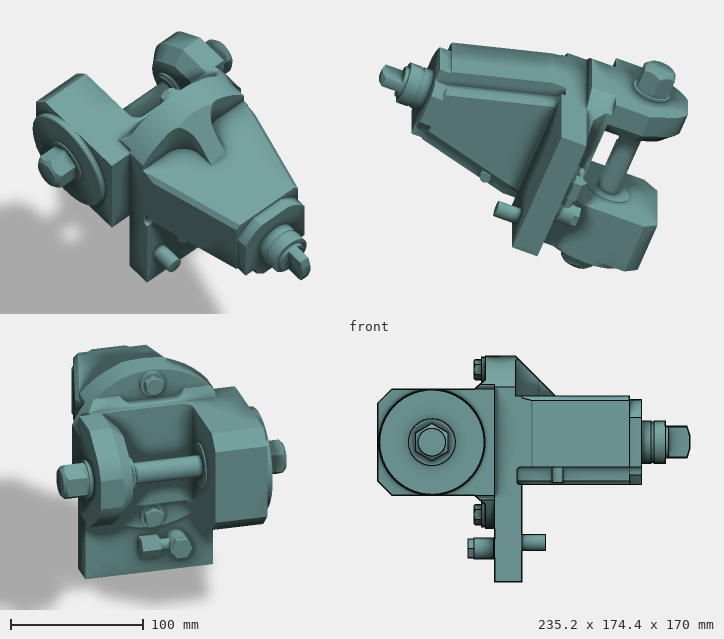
import cadquery as cq
import math


fork_half_height = 40.0
fork_back_x = 47.3
web_front_x = 27.5
web_fillet = 8.2
near_arm_front_x = -41.0
near_arm_inner_y = -26.8
near_arm_outer_y = -67.2
near_arm_chamfer = 10.8
far_arm_inner_y = 32.7
far_arm_outer_y = 60.2
far_arm_nose_radius = 33.0
far_arm_nose_x = -30.8
far_arm_bevel_depth = 10.3
far_arm_bevel_inset = 9.5

flange_radius = 65.0
flange_front_x = 40.0
flange_back_x = 62.8
plate_half_width = 49.8
plate_back_x = 67.7
plate_bottom_z = -105.0
near_relief_y = -48.2
ledge_front_x = 32.0
ledge_half_height = 46.8

flange_bolt_z = 54.5
spot_half_width = 26.0
spot_inner_z = 41.1
spot_corner_radius = 10.3
spot_depth = 0.5
spot_floor_x = flange_front_x + spot_depth
spot_front_x = 33.9
flange_washer_radius = 9.5
flange_washer_thickness = 2.8
flange_bolt_flats = 13.2
flange_bolt_chamfer = 1.2
flange_bolt_tip_x = 31.5

housing_top_z = 34.8
housing_bottom_z = -32.0
housing_back_x = 148.5
housing_back_half_width = 30.3
taper_start_x = 75.5
housing_top_chamfer = 3.5
side_relief_top_z = -18.8
side_relief_depth = 11.3
foot_back_half_width = housing_back_half_width - side_relief_depth
side_relief_front_x = 64.0
side_relief_corner = 2.8
side_relief_bottom_chamfer = 2.5

gusset_half_width = 7.5
gusset_flare_end_x = 80.5
gusset_flare_radius = gusset_flare_end_x - flange_back_x

end_plate_back_x = 157.8
end_plate_half_width = 29.2
end_plate_half_height = 32.0
end_plate_top_radius = 34.5
end_plate_chamfer = 7.3

collar_radius = 16.0
collar_back_x = 175.6
groove_x = 164.8
groove_width = 2.4
groove_depth = 0.7
hub_radius = 12.0
hub_back_x = 178.2
tang_thickness = 7.8
shaft_end_x = 194.2
tang_end_chamfer_length = 2.4
tang_end_chamfer_inset = 7.0

clamp_shaft_radius = 8.2
clamp_key_width = 2.4
clamp_key_height = 0.7
clamp_key_end_y = 15.0
clamp_hex_flats = 24.5
clamp_hex_chamfer = 3.8
clamp_head_end_y = -91.2
clamp_nut_end_y = 83.2
clamp_nut_start_y = 65.4
clamp_disc_outer_y = -72.0
clamp_disc_radius = 40.0
clamp_disc_chamfer = 0.7
clamp_washer_radius = 17.6
clamp_washer_thickness = 1.0
collar_stack_radius = 12.7
collar_flange_radius = 14.5
collar_flange_thickness = 1.9
inner_collar_end_y = 27.5

pin_y = -37.6
housing_pin_x = 94.5
housing_pin_radius = 4.0
housing_pin_bottom_z = -30.3
plate_pin_z = -75.5
plate_pin_radius = 6.0
plate_pin_end_x = 85.5
stop_y = -20.0
stop_z = -80.0
stop_radius = 8.0
stop_neck_radius = 7.0
stop_body_front_x = 31.5
stop_body_back_x = 46.3
stop_tip_x = 27.0
stop_flats = 14.3
stop_rod_radius = 4.5
stop_nut_start_y = -5.0
stop_nut_end_y = 9.5


def span_box(x0, x1, y0, y1, z0, z1):
    """Box given by its limits along each axis."""
    return cq.Workplane("XY").box(x1 - x0, y1 - y0, z1 - z0, centered=False).translate((x0, y0, z0))


def plane_x(x, y=0, z=0):
    """Workplane facing +X; its local axes are Y and Z."""
    return cq.Workplane("YZ", origin=(x, y, z))


def plane_y(y, x=0, z=0):
    """Workplane facing +Y; its local axes are -X and Z."""
    return cq.Workplane(cq.Plane(origin=(x, y, z), xDir=(-1, 0, 0), normal=(0, 1, 0)))


def hexagon(plane, flats, length, turn=0):
    """Hexagonal prism with a corner on the local x axis, rotated by turn degrees."""
    corner_diameter = flats / math.cos(math.pi / 6)
    return plane.transformed(rotate=(0, 0, turn)).polygon(6, corner_diameter).extrude(length)


def rounded_hexagon(plane, flats, length, chamfer, far_end):
    """Hexagonal bolt head with its corners turned off at one end."""
    prism = hexagon(plane, flats, length, 90)
    corner_radius = flats / 2 / math.cos(math.pi / 6)
    blank = plane.circle(corner_radius).extrude(length)
    blank = blank.faces(far_end).chamfer(chamfer)
    return prism.intersect(blank)


def flange_cylinder(x0, x1):
    return plane_x(x0).circle(flange_radius).extrude(x1 - x0)


def make_near_arm():
    arm = span_box(near_arm_front_x, fork_back_x, near_arm_outer_y, near_arm_inner_y,
                   -fork_half_height, fork_half_height)
    return arm.edges("|Y and <X").chamfer(near_arm_chamfer)


def make_far_arm():
    contact_angle = math.acos(far_arm_nose_radius / fork_half_height)
    contact_x = -far_arm_nose_radius * math.sin(contact_angle)
    contact_z = far_arm_nose_radius * math.cos(contact_angle)
    arm = (
        cq.Workplane("XZ", origin=(0, far_arm_outer_y, 0))
        .moveTo(fork_back_x, fork_half_height)
        .lineTo(0, fork_half_height)
        .lineTo(contact_x, contact_z)
        .threePointArc((-far_arm_nose_radius, 0), (contact_x, -contact_z))
        .lineTo(0, -fork_half_height)
        .lineTo(fork_back_x, -fork_half_height)
        .close()
        .extrude(far_arm_outer_y - far_arm_inner_y)
    )
    rim = arm.faces("<Y").edges("not >X")
    bevel = arm.val().chamfer(far_arm_bevel_depth, far_arm_bevel_inset, rim.vals())
    arm = cq.Workplane(bevel)
    nose_limit = span_box(far_arm_nose_x, fork_back_x, far_arm_inner_y, far_arm_outer_y,
                          -fork_half_height, fork_half_height)
    heel = span_box(web_front_x, fork_back_x, far_arm_inner_y, far_arm_outer_y,
                    -fork_half_height, fork_half_height)
    heel_waste = heel.cut(flange_cylinder(web_front_x, fork_back_x))
    return arm.intersect(nose_limit).cut(heel_waste)


def make_fork():
    web = span_box(web_front_x, fork_back_x, near_arm_inner_y, plate_half_width,
                   -fork_half_height, fork_half_height)
    fork = make_near_arm().union(web)
    fork = fork.edges(cq.selectors.NearestToPointSelector((web_front_x, near_arm_inner_y, 0)))
    return fork.fillet(web_fillet).union(make_far_arm())


def make_flange():
    """Round flange with a sloped ledge above and below the web."""
    ledge = (
        cq.Workplane("XZ", origin=(0, far_arm_outer_y, 0))
        .polyline([
            (ledge_front_x, -fork_half_height),
            (ledge_front_x, fork_half_height),
            (flange_front_x, ledge_half_height),
            (flange_front_x, -ledge_half_height),
        ])
        .close()
        .extrude(far_arm_outer_y - near_relief_y)
    )
    ledge = ledge.intersect(flange_cylinder(ledge_front_x, flange_front_x))
    front = flange_cylinder(flange_front_x, fork_back_x)
    front = front.intersect(span_box(flange_front_x, fork_back_x, near_relief_y, far_arm_outer_y,
                                     -flange_radius, flange_radius))
    back = flange_cylinder(fork_back_x, flange_back_x)
    back = back.intersect(span_box(fork_back_x, flange_back_x, -plate_half_width, plate_half_width,
                                   -flange_radius, flange_radius))
    return ledge.union(front).union(back)


def make_spot_face(side):
    """Round-cornered pocket that opens outward past the flange rim; side is +1 or -1."""
    spot_height = flange_radius - spot_inner_z + spot_corner_radius
    centre_z = side * (spot_inner_z + spot_height / 2)
    return (
        plane_x(spot_front_x, 0, centre_z)
        .rect(2 * spot_half_width, spot_height)
        .extrude(spot_floor_x - spot_front_x)
        .edges("|X")
        .fillet(spot_corner_radius)
    )


def make_flange_bolt(side):
    centre_z = side * flange_bolt_z
    washer_x = flange_front_x - flange_washer_thickness
    washer = plane_x(washer_x, 0, centre_z).circle(flange_washer_radius).extrude(spot_floor_x - washer_x)
    head = rounded_hexagon(plane_x(flange_bolt_tip_x, 0, centre_z), flange_bolt_flats,
                           washer_x - flange_bolt_tip_x, flange_bolt_chamfer, "<X")
    return washer.union(head)


def housing_taper_y(x):
    """Half width of the tapered sides, carried on past both of their ends."""
    slope = (plate_half_width - housing_back_half_width) / (housing_back_x - taper_start_x)
    return housing_back_half_width + slope * (housing_back_x - x)


def make_housing():
    body = (
        cq.Workplane("XY", origin=(0, 0, housing_bottom_z))
        .polyline([
            (fork_back_x, -plate_half_width),
            (taper_start_x, -plate_half_width),
            (housing_back_x, -housing_back_half_width),
            (housing_back_x, housing_back_half_width),
            (taper_start_x, plate_half_width),
            (fork_back_x, plate_half_width),
        ])
        .close()
        .extrude(housing_top_z - housing_bottom_z)
    )
    for side in (1, -1):
        inner_y = side * (housing_back_half_width - housing_top_chamfer)
        outer_y = side * (housing_back_half_width + housing_top_chamfer)
        bevel = (
            plane_x(housing_back_x)
            .polyline([
                (inner_y, housing_top_z),
                (outer_y, housing_top_z),
                (outer_y, housing_top_z - 2 * housing_top_chamfer),
            ])
            .close()
        )
        path = cq.Workplane("XY").polyline([
            (housing_back_x, side * housing_back_half_width),
            (flange_back_x, side * housing_taper_y(flange_back_x)),
        ])
        body = body.cut(bevel.sweep(path))
    return body


def make_side_relief():
    """Space cut from the lower sides, leaving a narrower foot with a bevelled bottom."""
    band = span_box(side_relief_front_x, housing_back_x, -plate_half_width, plate_half_width,
                    housing_bottom_z, side_relief_top_z)
    band = band.edges("|Y and <X").fillet(side_relief_corner)
    front_y = housing_taper_y(side_relief_front_x) - side_relief_depth
    foot = (
        cq.Workplane("XY", origin=(0, 0, housing_bottom_z))
        .polyline([
            (side_relief_front_x, -front_y),
            (housing_back_x, -foot_back_half_width),
            (housing_back_x, foot_back_half_width),
            (side_relief_front_x, front_y),
        ])
        .close()
        .extrude(side_relief_top_z - housing_bottom_z)
    )
    foot = foot.faces("<Z").edges("not(<X or >X)").chamfer(side_relief_bottom_chamfer)
    return band.cut(foot)


def make_plate():
    return span_box(fork_back_x, plate_back_x, -plate_half_width, plate_half_width,
                    plate_bottom_z, housing_top_z)


def make_gusset():
    """Sloped rib that flares outward where it meets the flange."""
    flare_y = gusset_half_width + gusset_flare_radius
    arc_mid_x = gusset_flare_end_x - gusset_flare_radius * math.sin(math.pi / 4)
    arc_mid_y = flare_y - gusset_flare_radius * math.cos(math.pi / 4)
    toe_x = flange_back_x + flange_radius - housing_top_z
    plan = (
        cq.Workplane("XY")
        .moveTo(flange_back_x, flare_y)
        .threePointArc((arc_mid_x, arc_mid_y), (gusset_flare_end_x, gusset_half_width))
        .lineTo(toe_x, gusset_half_width)
        .lineTo(toe_x, -gusset_half_width)
        .lineTo(gusset_flare_end_x, -gusset_half_width)
        .threePointArc((arc_mid_x, -arc_mid_y), (flange_back_x, -flare_y))
        .close()
        .extrude(flange_radius)
    )
    slope = (
        cq.Workplane("XZ", origin=(0, flare_y, 0))
        .polyline([
            (flange_back_x, 0),
            (flange_back_x, flange_radius),
            (toe_x, housing_top_z),
            (toe_x, 0),
        ])
        .close()
        .extrude(2 * flare_y)
    )
    return plan.intersect(slope).intersect(flange_cylinder(flange_back_x, toe_x))


def make_end_plate():
    """Plate with an arched top, stepped in below to the width of the housing's foot."""
    length = end_plate_back_x - housing_back_x
    head = span_box(housing_back_x, end_plate_back_x, -end_plate_half_width, end_plate_half_width,
                    side_relief_top_z, end_plate_half_height)
    head = head.intersect(plane_x(housing_back_x).circle(end_plate_top_radius).extrude(length))
    foot = span_box(housing_back_x, end_plate_back_x, -foot_back_half_width, foot_back_half_width,
                    -end_plate_half_height, 0)
    return head.union(foot.edges("|X and <Z").chamfer(end_plate_chamfer))


def make_drive_shaft():
    collar = plane_x(end_plate_back_x).circle(collar_radius).extrude(collar_back_x - end_plate_back_x)
    groove_floor_radius = collar_radius - groove_depth
    groove = plane_x(groove_x).circle(collar_radius).circle(groove_floor_radius).extrude(groove_width)
    hub = plane_x(collar_back_x).circle(hub_radius).extrude(hub_back_x - collar_back_x)
    tang = plane_x(hub_back_x).circle(hub_radius).extrude(shaft_end_x - hub_back_x)
    tang = cq.Workplane(tang.val().chamfer(tang_end_chamfer_length, tang_end_chamfer_inset,
                                           tang.faces(">X").edges().vals()))
    flats = span_box(hub_back_x, shaft_end_x, -tang_thickness / 2, tang_thickness / 2,
                     -hub_radius, hub_radius)
    return collar.cut(groove).union(hub).union(tang.intersect(flats))


def make_collar_stack(y0, y1):
    """Spacer bush with a thin flange at the middle of its length."""
    bush = plane_y(y0).circle(collar_stack_radius).extrude(y1 - y0)
    flange_y = (y0 + y1 - collar_flange_thickness) / 2
    flange = plane_y(flange_y).circle(collar_flange_radius).extrude(collar_flange_thickness)
    return bush.union(flange)


def make_clamp_bolt():
    shaft = plane_y(near_arm_outer_y).circle(clamp_shaft_radius).extrude(far_arm_outer_y - near_arm_outer_y)
    key = span_box(0, clamp_shaft_radius + clamp_key_height, near_arm_inner_y, clamp_key_end_y,
                   -clamp_key_width / 2, clamp_key_width / 2)
    disc_thickness = near_arm_outer_y - clamp_disc_outer_y
    disc = plane_y(clamp_disc_outer_y).circle(clamp_disc_radius).extrude(disc_thickness)
    disc = disc.faces("<Y").chamfer(clamp_disc_chamfer)
    washer_y = clamp_disc_outer_y - clamp_washer_thickness
    bolt = shaft.union(key).union(disc)
    for y in (washer_y, near_arm_inner_y):
        bolt = bolt.union(plane_y(y).circle(clamp_washer_radius).extrude(clamp_washer_thickness))
    bolt = bolt.union(rounded_hexagon(plane_y(clamp_head_end_y), clamp_hex_flats,
                                      washer_y - clamp_head_end_y, clamp_hex_chamfer, "<Y"))
    bolt = bolt.union(make_collar_stack(inner_collar_end_y, far_arm_inner_y))
    bolt = bolt.union(make_collar_stack(far_arm_outer_y, clamp_nut_start_y))
    return bolt.union(rounded_hexagon(plane_y(clamp_nut_start_y), clamp_hex_flats,
                                      clamp_nut_end_y - clamp_nut_start_y, clamp_hex_chamfer, ">Y"))


def make_pins():
    housing_pin = (
        cq.Workplane("XY", origin=(housing_pin_x, pin_y, housing_pin_bottom_z))
        .circle(housing_pin_radius)
        .extrude(-housing_pin_bottom_z)
    )
    plate_pin = (
        plane_x(fork_back_x, pin_y, plate_pin_z)
        .circle(plate_pin_radius)
        .extrude(plate_pin_end_x - fork_back_x)
    )
    return housing_pin.union(plate_pin)


def make_stop_screw():
    """Screw on the base plate, tied by a short cross rod to a hexagonal nut."""
    body_length = stop_body_back_x - stop_body_front_x
    body = plane_x(stop_body_front_x, stop_y, stop_z).circle(stop_radius).extrude(body_length)
    neck_length = fork_back_x - stop_body_back_x
    neck = plane_x(stop_body_back_x, stop_y, stop_z).circle(stop_neck_radius).extrude(neck_length)
    tip = hexagon(plane_x(stop_tip_x, stop_y, stop_z), stop_flats, stop_body_front_x - stop_tip_x)
    nut_corner_radius = stop_flats / 2 / math.cos(math.pi / 6)
    rod_x = fork_back_x - nut_corner_radius
    rod = plane_y(stop_y, rod_x, stop_z).circle(stop_rod_radius).extrude(stop_nut_end_y - stop_y)
    nut = hexagon(plane_y(stop_nut_start_y, rod_x, stop_z), stop_flats, stop_nut_end_y - stop_nut_start_y)
    return body.union(neck).union(tip).union(rod).union(nut)


result = make_fork().union(make_flange()).union(make_plate())
result = result.union(make_housing()).cut(make_side_relief()).union(make_gusset())
for side in (1, -1):
    result = result.cut(make_spot_face(side))
    result = result.union(make_flange_bolt(side))
result = result.union(make_end_plate()).union(make_drive_shaft())
result = result.union(make_clamp_bolt()).union(make_pins()).union(make_stop_screw())